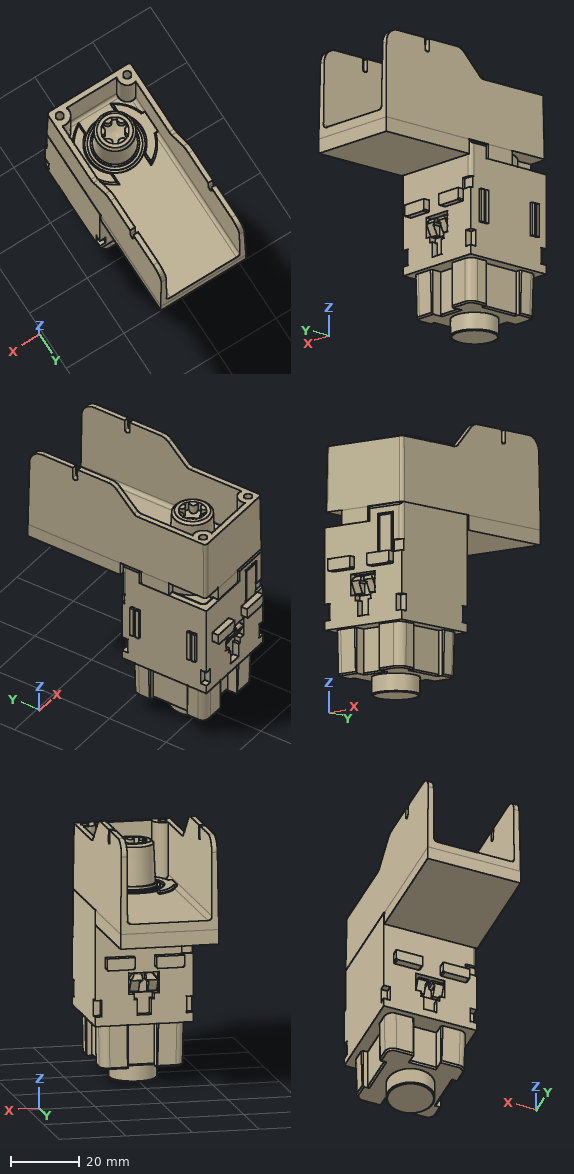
import cadquery as cq
import math


clearance = 0.8
select_margin = 0.1

block_width = 29.5
block_depth = 29.9
shoulder_height = 30.55
seam_height = 35.05
rim_width = 2.1
lip_front_start = 1.7
lip_side_start = 8.0
lip_chamfer = 0.8
seat_depth = 0.25
seat_corner_radius = 1.6

corner_round = 1.15
step_bottom = 20.6
step_top = 24.0
step_width = 3.5
step_depth = 0.9

corner_notch = 2.05
corner_notch_bottom = 2.9
corner_notch_height = 4.9

clip_width = 8.4
clip_height = 3.6
clip_reach = 2.1
clip_offset = 7.4
clip_top = 20.6
clip_chamfer = 0.4

rib_reach = 0.8
rib_height = 10.05
rib_width = 1.15
rib_positions = (10.95, 9.1, -9.15, -10.9)

panel_left = 5.6
panel_width = 5.7
panel_bottom = 20.9
panel_height = 11.4
panel_groove = 0.5
panel_groove_depth = 0.3

window_width = 9.15
window_bottom = 9.2
window_height = 6.3
window_depth = 2.5
keyway_depth = 2.05
latch_half_width = 4.1
latch_bevel_half_width = 2.95
latch_top = 14.9
latch_bevel_bottom = 13.4
latch_bottom = 9.7
latch_nose_radius = 1.55
latch_slope_run = 1.8
latch_reach = 0.4
latch_gap_half_width = 0.6
latch_throat_half_width = 1.4
latch_gap_bottom = 13.2
latch_throat_top = 12.7
keyway_wide_width = 5.9
keyway_wide_bottom = 7.5
keyway_width = 4.1
keyway_bottom = 2.9

insert_width = 25.5
insert_depth = 26.3
insert_height = 13.6
insert_corner_radius = 2.6
insert_draft = 1.0
insert_chamfer = 0.5
front_flute_width = 8.5
front_flute_depth = 3.7
side_flute_width = 12.9
side_flute_depth = 1.9
flute_mouth_chamfer = 0.5

stub_radius = 7.1
stub_length = 5.5
stub_chamfer = 0.3

tray_width = block_width
tray_front = -14.8
tray_back = 48.2
tray_top = 62.7
front_wall_top = 54.65
tray_draft = 0.8
tray_corner_radius = 1.0
floor_height = 37.8
inner_half_width = 12.7
inner_front = -12.7
floor_fillet = 1.2
slab_start = 15.45

flap_corner_radius = 4.5
flap_shoulder_radius = 4.1
flap_foot_radius = 2.05
flap_slope_foot = 10.3
slit_position = 31.7
slit_width = 1.6
slit_end_radius = 0.78
slit_depth = 4.2

collar_radius = 12.7
opening_side = -8.25
opening_front = -1.55

post_offset = 11.7
post_radius = 3.2
post_hole_top_radius = 1.2
post_hole_end_radius = 0.8
post_hole_depth = 9.8

pad_radius = 12.4
pad_hole_radius = 8.8
pad_channel_width = 10.95
pad_height = 0.8
pad_chamfer = 0.5
pad_land_start = 11.3
pad_land_width = 7.2

boss_top = 51.9
boss_rings = ((8.8, 0.4), (8.1, 0.8), (7.2, 1.6))
boss_foot_radius = 6.7
boss_shoulder_radius = 6.1
boss_shoulder_drop = 0.8
boss_rim_radius = 5.3
socket_radius = 4.1
socket_depth = 2.9
socket_cone_depth = 2.05
socket_countersink = 0.5
lobe_count = 6
lobe_radius = 1.4
lobe_offset = 4.25


def box(x0, x1, y0, y1, z0, z1):
    """Axis-aligned box between two opposite corners."""
    return cq.Workplane("XY").box(x1 - x0, y1 - y0, z1 - z0, centered=False).translate((x0, y0, z0))


def cylinder(radius, z0, z1, x=0.0, y=0.0):
    """Upright cylinder."""
    return cq.Workplane("XY", origin=(x, y, z0)).circle(radius).extrude(z1 - z0)


def half_turn(shape):
    """The same shape turned 180 degrees about the spindle axis."""
    return shape.rotate((0, 0, 0), (0, 0, 1), 180)


half_width = block_width / 2
half_depth = block_depth / 2
seat_half_width = half_width - rim_width
seat_half_depth = half_depth - rim_width


def seat_plug(z0, z1):
    """Rounded square that fits inside the rim of the block."""
    plug = box(-seat_half_width, seat_half_width, -seat_half_depth, seat_half_depth, z0, z1)
    return plug.edges("|Z").fillet(seat_corner_radius)


def make_block_shell():
    shell = box(-half_width, half_width, -half_depth, half_depth, 0, seam_height)
    opening = box(-half_width, lip_front_start, -half_depth, lip_side_start, shoulder_height, seam_height)
    shell = shell.cut(opening)
    front_edges = cq.selectors.BoxSelector(
        (lip_front_start - select_margin, -half_depth - select_margin, shoulder_height),
        (half_width - select_margin, -half_depth + select_margin, seam_height + select_margin),
    )
    shell = shell.edges(front_edges).chamfer(lip_chamfer)
    side_edges = cq.selectors.BoxSelector(
        (-half_width - select_margin, lip_side_start - select_margin, shoulder_height),
        (-half_width + select_margin, half_depth - select_margin, seam_height + select_margin),
    )
    shell = shell.edges(side_edges).chamfer(lip_chamfer)
    return shell.cut(seat_plug(shoulder_height - seat_depth, seam_height))


def corner_relief():
    """Rounding of the +X -Y corner edge and the notch below it."""
    inner_x = half_width - corner_round
    inner_y = corner_round - half_depth
    rounding = box(inner_x, half_width, -half_depth, inner_y, step_top, seam_height)
    rounding = rounding.cut(cylinder(corner_round, step_top, seam_height, inner_x, inner_y))
    step_start = half_width - step_width
    step = box(step_start, half_width, -half_depth, step_depth - half_depth, step_bottom, step_top)
    return rounding.union(step)


def corner_notches():
    notches = cq.Workplane("XY")
    for x in (-half_width, half_width):
        for y in (-half_depth, half_depth):
            notches = notches.union(
                box(
                    x - corner_notch, x + corner_notch,
                    y - corner_notch, y + corner_notch,
                    corner_notch_bottom, corner_notch_bottom + corner_notch_height,
                )
            )
    return notches


def front_clips():
    clips = cq.Workplane("XY")
    for x in (-clip_offset, clip_offset):
        clip = box(
            x - clip_width / 2, x + clip_width / 2,
            -half_depth - clip_reach, -half_depth,
            clip_top - clip_height, clip_top,
        )
        clips = clips.union(clip.edges("|Y and <Z").chamfer(clip_chamfer))
    return clips


def side_ribs():
    ribs = cq.Workplane("XY")
    for y in rib_positions:
        ribs = ribs.union(
            box(
                -half_width - rib_reach, -half_width,
                y - rib_width / 2, y + rib_width / 2,
                clip_top - rib_height, clip_top,
            )
        )
    return ribs


def panel_outline():
    """Shallow groove framing a rectangular panel on three sides."""
    right = panel_left + panel_width
    top = panel_bottom + panel_height
    floor = panel_groove_depth - half_depth
    frame = box(panel_left, right, -half_depth, floor, panel_bottom, top)
    panel = box(
        panel_left + panel_groove, right - panel_groove, -half_depth, floor, panel_bottom, top - panel_groove
    )
    return frame.cut(panel)


def latch_recess():
    """Window with the stepped keyway below it."""
    floor = window_depth - half_depth
    keyway_floor = keyway_depth - half_depth
    wide = keyway_wide_width / 2
    narrow = keyway_width / 2
    window = box(
        -window_width / 2, window_width / 2, -half_depth, floor, window_bottom, window_bottom + window_height
    )
    upper = box(-wide, wide, -half_depth, keyway_floor, keyway_wide_bottom, window_bottom)
    lower = box(-narrow, narrow, -half_depth, keyway_floor, keyway_bottom, keyway_wide_bottom)
    return window.union(upper).union(lower)


def latch():
    """Pair of hooks in the window: round nose on top, sloped back below."""
    back = window_depth - half_depth
    nose = -half_depth - latch_reach
    centre_y = nose + latch_nose_radius
    centre_z = latch_top - latch_nose_radius
    diagonal = latch_nose_radius * math.sqrt(0.5)
    profile = (
        cq.Workplane("YZ")
        .moveTo(back, latch_top)
        .lineTo(centre_y, latch_top)
        .threePointArc((centre_y - diagonal, centre_z + diagonal), (nose, centre_z))
        .lineTo(nose + latch_slope_run, latch_bottom)
        .lineTo(back, latch_bottom)
        .close()
        .extrude(latch_half_width, both=True)
    )
    hooks = cq.Workplane("XY")
    for side in (-1, 1):
        outline = [
            (side * latch_gap_half_width, latch_top), (side * latch_bevel_half_width, latch_top),
            (side * latch_half_width, latch_bevel_bottom), (side * latch_half_width, latch_bottom),
            (side * latch_throat_half_width, latch_bottom), (side * latch_throat_half_width, latch_throat_top),
            (side * latch_gap_half_width, latch_gap_bottom),
        ]
        hook = cq.Workplane("XZ").polyline(outline).close().extrude(block_depth)
        hooks = hooks.union(hook.intersect(profile))
    return hooks


def flute(width, depth, face_distance):
    """Vertical channel in the -Y face of the insert, with a chamfered mouth and lower floor edge."""
    half = width / 2
    mouth = half + flute_mouth_chamfer
    outside = face_distance + depth
    floor = depth - face_distance
    points = [
        (-mouth, -outside), (mouth, -outside), (mouth, -face_distance),
        (half, flute_mouth_chamfer - face_distance), (half, floor),
        (-half, floor), (-half, flute_mouth_chamfer - face_distance), (-mouth, -face_distance),
    ]
    channel = cq.Workplane("XY", origin=(0, 0, -insert_height)).polyline(points).close().extrude(insert_height)
    bevel = (
        cq.Workplane("YZ")
        .polyline([
            (floor, -insert_height), (floor + insert_chamfer, -insert_height),
            (floor, insert_chamfer - insert_height),
        ])
        .close()
        .extrude(half, both=True)
    )
    return channel.union(bevel)


def make_insert():
    insert = cq.Workplane("XY").rect(insert_width, insert_depth).extrude(-insert_height, taper=insert_draft)
    insert = insert.edges("not #Z").fillet(insert_corner_radius)
    insert = insert.faces("<Z").edges().chamfer(insert_chamfer)
    front = flute(front_flute_width, front_flute_depth, insert_depth / 2)
    side = flute(side_flute_width, side_flute_depth, insert_width / 2).rotate((0, 0, 0), (0, 0, 1), -90)
    for channel in (front, side):
        insert = insert.cut(channel).cut(half_turn(channel))
    stub = cylinder(stub_radius, -insert_height - stub_length, -insert_height)
    return insert.union(stub.faces("<Z").chamfer(stub_chamfer))


def make_block():
    block = make_block_shell().union(make_insert())
    for relief in (corner_relief(), latch_recess()):
        block = block.cut(relief).cut(half_turn(relief))
    block = block.cut(corner_notches()).cut(panel_outline())
    for addition in (front_clips(), latch()):
        block = block.union(addition).union(half_turn(addition))
    return block.union(side_ribs())


def tray_side_outline():
    """Side profile of the tray walls, extruded across the whole width."""
    slope_top = flap_slope_foot + tray_top - front_wall_top
    far_front = tray_front - clearance
    shoulder = flap_shoulder_radius * math.tan(math.radians(22.5))
    foot = flap_foot_radius * math.tan(math.radians(22.5))
    diagonal = math.sqrt(0.5)
    flap_back = tray_back - (tray_top - seam_height) * math.tan(math.radians(tray_draft))
    return (
        cq.Workplane("YZ")
        .moveTo(far_front, seam_height)
        .lineTo(far_front, front_wall_top)
        .lineTo(flap_slope_foot - foot, front_wall_top)
        .tangentArcPoint((flap_slope_foot + foot * diagonal, front_wall_top + foot * diagonal), relative=False)
        .lineTo(slope_top - shoulder * diagonal, tray_top - shoulder * diagonal)
        .tangentArcPoint((slope_top + shoulder, tray_top), relative=False)
        .lineTo(flap_back - flap_corner_radius, tray_top)
        .tangentArcPoint((flap_back, tray_top - flap_corner_radius), relative=False)
        .lineTo(tray_back, seam_height)
        .close()
        .extrude(tray_width, both=True)
    )


def make_tray_shell():
    length = tray_back - tray_front
    shell = (
        cq.Workplane("XY", origin=(0, (tray_front + tray_back) / 2, seam_height))
        .rect(tray_width, length)
        .extrude(tray_top - seam_height, taper=tray_draft)
    )
    shell = shell.edges("not #Z").edges("<Y").fillet(tray_corner_radius)
    return shell.intersect(tray_side_outline())


def tray_base():
    """Rear slab, the fill above the open shoulder and the plug inside the block rim."""
    half = tray_width / 2
    slab = box(-half, half, slab_start, tray_back, shoulder_height, seam_height)
    apron = box(-half, lip_front_start, tray_front, lip_side_start, shoulder_height, seam_height)
    base = apron.union(seat_plug(shoulder_height - seat_depth, seam_height))
    corner = box(
        -half_width, opening_side, -half_depth, opening_front, shoulder_height - seat_depth, seam_height
    )
    base = base.cut(corner.cut(cylinder(collar_radius, shoulder_height - seat_depth, seam_height)))
    return base.union(slab)


def tray_cavity():
    """Inside of the tray, open at the top and the rear, with rounded floor edges."""
    cavity = box(-inner_half_width, inner_half_width, inner_front, tray_back + clearance, floor_height, tray_top)
    cavity = cavity.faces("<Z").edges("not >Y").fillet(floor_fillet)
    for side in (-1, 1):
        post = cylinder(post_radius, floor_height, tray_top, side * post_offset, -post_offset)
        cavity = cavity.cut(post)
    return cavity


def floor_pads():
    """Raised circular segments on both sides of the boss, joined to the side walls."""
    pads = cylinder(pad_radius, floor_height, floor_height + pad_height)
    pads = pads.cut(cylinder(pad_hole_radius, floor_height, floor_height + pad_height))
    half = pad_channel_width / 2
    pads = pads.cut(box(-half, half, -pad_radius, pad_radius, floor_height, floor_height + pad_height))
    pads = pads.faces(">Z").edges().chamfer(pad_chamfer)
    land = box(
        pad_land_start, inner_half_width, -pad_land_width / 2, pad_land_width / 2,
        floor_height, floor_height + pad_height,
    )
    return pads.union(land).union(half_turn(land))


def make_socket():
    """Six-lobed drive socket with a conical floor; the tops of its inward ribs are bevelled."""
    floor = boss_top - socket_depth
    cone = cq.Solid.makeCone(0, socket_radius, socket_cone_depth, pnt=(0, 0, floor - socket_cone_depth))
    socket = cylinder(socket_radius, floor, boss_top).union(cq.Workplane(cone))
    for lobe in range(lobe_count):
        angle = 2 * math.pi * (lobe + 0.5) / lobe_count
        x = lobe_offset * math.cos(angle)
        y = lobe_offset * math.sin(angle)
        socket = socket.cut(cylinder(lobe_radius, floor - socket_cone_depth, boss_top, x, y))
    bevel = cq.Solid.makeCone(
        lobe_offset - lobe_radius, socket_radius, socket_countersink, pnt=(0, 0, boss_top - socket_countersink)
    )
    return socket.union(cq.Workplane(bevel))


def make_boss():
    """Tapered round boss standing on low stepped rings, with the drive socket in its top."""
    shoulder = boss_top - boss_shoulder_drop
    profile = [
        (0, floor_height), (boss_foot_radius, floor_height), (boss_shoulder_radius, shoulder),
        (boss_rim_radius, boss_top), (0, boss_top),
    ]
    boss = cq.Workplane("XZ").polyline(profile).close().revolve(360, (0, 0, 0), (0, 1, 0))
    for radius, height in boss_rings:
        boss = boss.union(cylinder(radius, floor_height, floor_height + height))
    return boss.cut(make_socket())


def make_tray():
    tray = make_tray_shell().union(tray_base()).cut(tray_cavity())
    for side in (-1, 1):
        hole_end = cq.Vector(side * post_offset, -post_offset, front_wall_top - post_hole_depth)
        hole = cq.Solid.makeCone(post_hole_end_radius, post_hole_top_radius, post_hole_depth, pnt=hole_end)
        tray = tray.cut(cq.Workplane(hole))
    slit = box(
        -tray_width, tray_width, slit_position - slit_width / 2, slit_position + slit_width / 2,
        tray_top - slit_depth, tray_top,
    )
    tray = tray.cut(slit.edges("|X and <Z").fillet(slit_end_radius))
    return tray.union(floor_pads()).union(make_boss())


block = make_block()
tray = make_tray()

result = cq.Compound.makeCompound([block.val(), tray.val()])